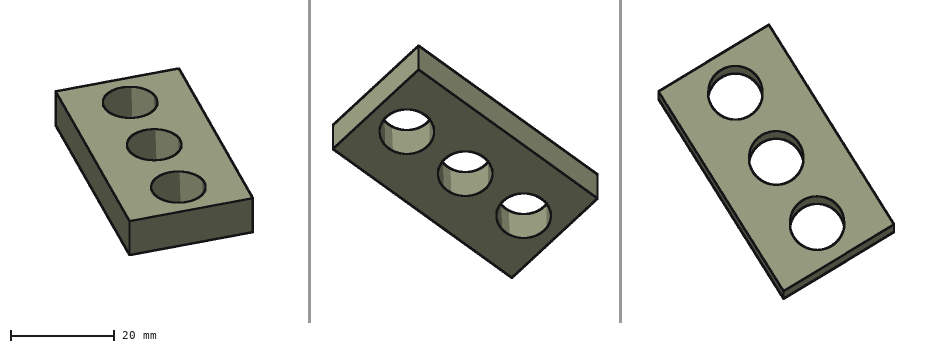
import cadquery as cq

length = 46.0
width = 25.0
thickness = 8.0

hole_diameter = 10.5
hole_spacing = 15.0
hole_count = 3


def make_plate():
    """Rectangular plate centred on the origin."""
    return cq.Workplane("XY").box(length, width, thickness)


def drill_hole_row(plate):
    """Drill the evenly spaced holes through the full thickness."""
    return (
        plate.faces(">Z")
        .workplane()
        .rarray(hole_spacing, width, hole_count, 1)
        .hole(hole_diameter)
    )


result = drill_hole_row(make_plate())